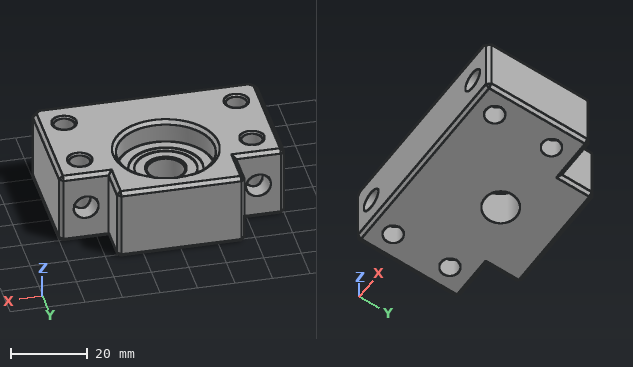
import cadquery as cq

BASE_WIDTH = 60.0
BASE_DEPTH = 32.5
BOSS_WIDTH = 34.0
TOTAL_DEPTH = 43.0
HEIGHT = 20.0
EDGE_CHAMFER = 1.0

SEAT_Y = 25.0
SEAT_DIAMETER = 26.0
SEAT_MOUTH_DIAMETER = 28.0
SEAT_DEPTH = 6.0
SEAT_FLOOR_Z = HEIGHT - SEAT_DEPTH
RACE_CHAMFER = 0.3

GROOVE_OUTER_DIAMETER = 19.55
GROOVE_INNER_DIAMETER = 16.45
GROOVE_DEPTH = 0.2

BORE_DIAMETER = 10.0
BORE_MOUTH_DIAMETER = 10.8

HOLE_X = 23.0
HOLE_ROWS_Y = (7.0, SEAT_Y)
UPRIGHT_HOLE_DIAMETER = 5.5
UPRIGHT_HOLE_MOUTH_DIAMETER = 6.6
CROSS_HOLE_DIAMETER = 6.6


def make_block():
    """T-shaped block with every edge chamfered but the top front one and the inner corners."""
    half_base = BASE_WIDTH / 2
    half_boss = BOSS_WIDTH / 2
    outline = [
        (-half_base, 0),
        (half_base, 0),
        (half_base, BASE_DEPTH),
        (half_boss, BASE_DEPTH),
        (half_boss, TOTAL_DEPTH),
        (-half_boss, TOTAL_DEPTH),
        (-half_boss, BASE_DEPTH),
        (-half_base, BASE_DEPTH),
    ]
    block = cq.Workplane("XY").polyline(outline).close().extrude(HEIGHT)

    margin = 0.05
    inner_corners = cq.selectors.BoxSelector(
        (-half_boss - margin, BASE_DEPTH - margin, HEIGHT / 2 - margin),
        (half_boss + margin, BASE_DEPTH + margin, HEIGHT / 2 + margin),
    )
    top_front_edge = cq.selectors.BoxSelector(
        (-margin, -margin, HEIGHT - margin),
        (margin, margin, HEIGHT + margin),
    )
    all_edges = cq.StringSyntaxSelector("|Z or #Z")
    return block.edges(all_edges - inner_corners - top_front_edge).chamfer(EDGE_CHAMFER)


def corner_cut(side):
    """Material outside the slanted facet at one top front corner (side is -1 left, 1 right)."""
    leg = 2 * EDGE_CHAMFER
    facet_center = (side * (BASE_WIDTH / 2 - leg / 3), leg / 3, HEIGHT - leg / 3)
    facet = cq.Plane(origin=facet_center, normal=(side, -1, 1))
    return cq.Workplane(facet).rect(2 * leg, 2 * leg).extrude(leg)


def revolved(profile, x, y):
    """Turn a (radius, height) profile about the upright axis at x, y."""
    section = cq.Workplane("XZ", origin=(x, y, 0)).polyline(profile).close()
    return section.revolve(360, (0, 0), (0, 1))


def bearing_seat():
    """Chamfered pocket with a V groove around its floor, where the outer race is chamfered."""
    radius = SEAT_DIAMETER / 2
    mouth_radius = SEAT_MOUTH_DIAMETER / 2
    profile = [
        (0, SEAT_FLOOR_Z),
        (radius - RACE_CHAMFER, SEAT_FLOOR_Z),
        (radius, SEAT_FLOOR_Z - RACE_CHAMFER),
        (radius, HEIGHT - (mouth_radius - radius)),
        (mouth_radius, HEIGHT),
        (0, HEIGHT),
    ]
    return revolved(profile, 0, SEAT_Y)


def ring_groove():
    floor = cq.Workplane("XY", origin=(0, SEAT_Y, SEAT_FLOOR_Z))
    ring = floor.circle(GROOVE_OUTER_DIAMETER / 2).circle(GROOVE_INNER_DIAMETER / 2)
    return ring.extrude(-GROOVE_DEPTH)


def chamfered_hole(diameter, mouth_diameter, mouth_z, x, y):
    """Through hole from the underside up to mouth_z, with a 45 degree chamfer at its mouth."""
    radius = diameter / 2
    mouth_radius = mouth_diameter / 2
    profile = [
        (0, 0),
        (radius, 0),
        (radius, mouth_z - (mouth_radius - radius)),
        (mouth_radius, mouth_z),
        (0, mouth_z),
    ]
    return revolved(profile, x, y)


def cross_hole(x):
    """Hole at mid height, running from the front face through the back of the base."""
    front = cq.Workplane("XZ", origin=(x, 0, HEIGHT / 2))
    return front.circle(CROSS_HOLE_DIAMETER / 2).extrude(-BASE_DEPTH)


def upright_hole(x, y):
    return chamfered_hole(UPRIGHT_HOLE_DIAMETER, UPRIGHT_HOLE_MOUTH_DIAMETER, HEIGHT, x, y)


result = make_block()
result = result.cut(bearing_seat())
result = result.cut(ring_groove())
result = result.cut(chamfered_hole(BORE_DIAMETER, BORE_MOUTH_DIAMETER, SEAT_FLOOR_Z, 0, SEAT_Y))

for side in (-1, 1):
    hole_x = side * HOLE_X
    result = result.cut(corner_cut(side))
    result = result.cut(cross_hole(hole_x))
    for row_y in HOLE_ROWS_Y:
        result = result.cut(upright_hole(hole_x, row_y))